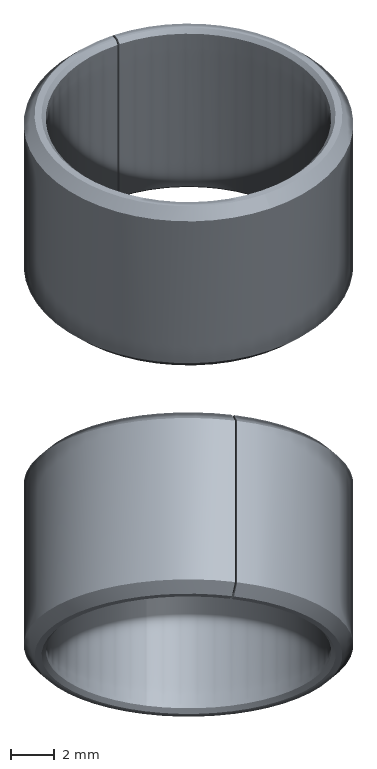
import cadquery as cq

outer_diameter = 15.0
height = 9.0
wall = 1.0
outer_chamfer = 0.5
inner_chamfer = 0.2
slit_width = 0.1

outer_radius = outer_diameter / 2
inner_radius = outer_radius - wall
half_height = height / 2


def make_sleeve():
    """Tube with both rims chamfered inside and outside."""
    tube = (
        cq.Workplane("XY")
        .workplane(offset=-half_height)
        .circle(outer_radius)
        .circle(inner_radius)
        .extrude(height)
    )
    outer_edges = cq.selectors.RadiusNthSelector(-1)
    inner_edges = cq.selectors.RadiusNthSelector(0)
    tube = tube.faces("|Z").edges(outer_edges).chamfer(outer_chamfer)
    return tube.faces("|Z").edges(inner_edges).chamfer(inner_chamfer)


def make_slit():
    """Full-height cut through the -X wall, with one side on the XZ plane."""
    return cq.Workplane("XY").box(
        outer_radius, slit_width, height, centered=(False, False, True)
    ).translate((-outer_radius, 0, 0))


result = make_sleeve().cut(make_slit())